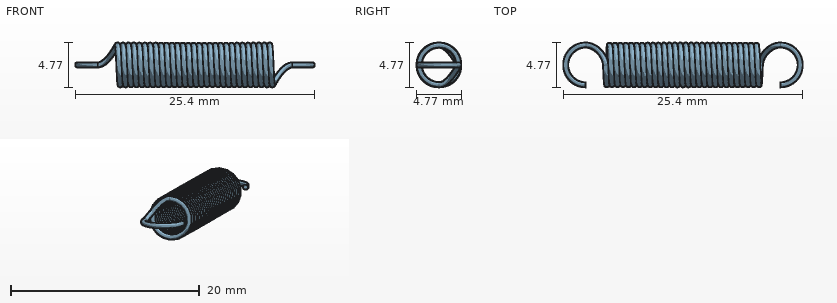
import cadquery as cq
import math

overall_length = 25.4
outer_diameter = 4.77
wire_diameter = 0.55
turns = 28.5

wire_radius = wire_diameter / 2
mean_radius = (outer_diameter - wire_diameter) / 2
hook_center_x = overall_length / 2 - outer_diameter / 2
coil_end_x = hook_center_x - mean_radius
coil_length = 2 * coil_end_x
pitch = coil_length / turns

bend_handle = 0.5 * mean_radius


def sweep_wire(path, start, direction):
    """Sweep the round wire section along a path from its start point."""
    section = cq.Workplane(cq.Plane(origin=start, normal=direction)).circle(wire_radius)
    return section.sweep(path, isFrenet=True)


def make_coil():
    """Right-handed coil running from the top at -X to the bottom at +X."""
    axis_plane = cq.Plane(origin=(-coil_end_x, 0, 0), xDir=(0, 0, 1), normal=(1, 0, 0))
    helix = cq.Wire.makeHelix(pitch, coil_length, mean_radius).moved(cq.Location(axis_plane))
    start = (-coil_end_x, 0, mean_radius)
    tangent = (pitch, -2 * math.pi * mean_radius, 0)
    return sweep_wire(helix, start, tangent)


def make_left_hook():
    """Open half-circle hook in the XY plane, with a bend rising to the coil."""
    tip = cq.Vector(-hook_center_x, -mean_radius, 0)
    outermost = cq.Vector(-hook_center_x - mean_radius, 0, 0)
    bend_start = cq.Vector(-hook_center_x, mean_radius, 0)
    coil_start = cq.Vector(-coil_end_x, 0, mean_radius)
    hook_tangent = cq.Vector(1, 0, 0)
    coil_tangent = cq.Vector(pitch, -2 * math.pi * mean_radius, 0).normalized()

    loop = cq.Edge.makeThreePointArc(tip, outermost, bend_start)
    bend = cq.Edge.makeBezier(
        [
            bend_start,
            bend_start + hook_tangent * bend_handle,
            coil_start - coil_tangent * bend_handle,
            coil_start,
        ]
    )
    loop_wire = sweep_wire(cq.Wire.assembleEdges([loop]), tip, (-1, 0, 0))
    bend_wire = sweep_wire(cq.Wire.assembleEdges([bend]), bend_start, hook_tangent)
    return loop_wire.union(bend_wire)


left_hook = make_left_hook()
right_hook = left_hook.rotate((0, 0, 0), (0, 1, 0), 180)

result = make_coil().union(left_hook).union(right_hook)